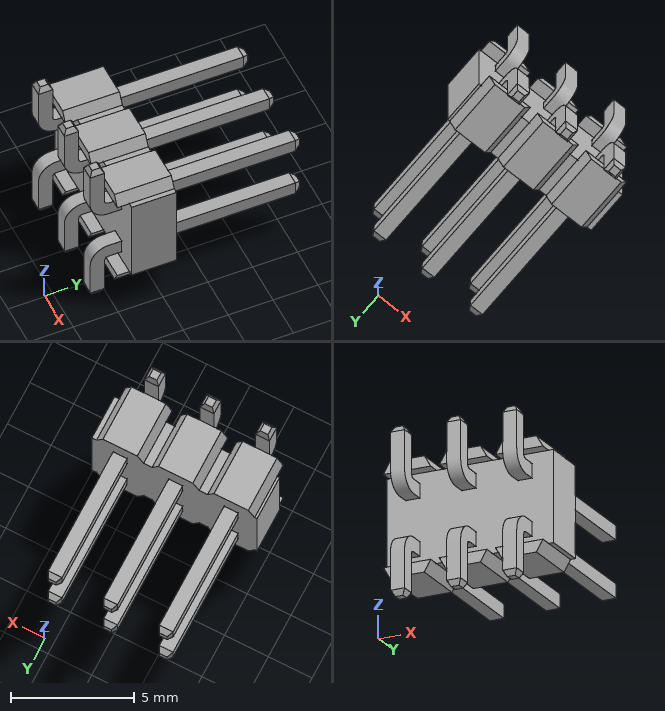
import cadquery as cq


column_count = 3
pitch = 2.54
row_offsets = [pitch / 2, -pitch / 2]
grid_shift_x = -0.06
column_xs = [grid_shift_x + (i - (column_count - 1) / 2) * pitch for i in range(column_count)]

block_length = 7.56
block_depth = 2.0
block_height = 4.06
pad_depth = pitch
pad_height = 0.51
pad_base_width = 2.15
pad_top_width = 1.57

overall_depth = 9.4
overall_height = 7.4
pin_width = 0.64
mating_length = 6.0
bend_inner_radius = 0.19
bend_outer_radius = bend_inner_radius + pin_width
tip_length = 0.25
tip_width = 0.36
tail_y = mating_length - overall_depth + pin_width / 2
tail_end_z = overall_height / 2


def make_block():
    return cq.Workplane("XY").box(block_length, block_depth, block_height).translate((0, -block_depth / 2, 0))


def make_pad(center_x, side):
    """Trapezoidal pad on the top (side = 1) or bottom (side = -1) of the block."""
    base_z = side * block_height / 2
    outer_z = base_z + side * pad_height
    outline = [
        (center_x - pad_base_width / 2, base_z),
        (center_x + pad_base_width / 2, base_z),
        (center_x + pad_top_width / 2, outer_z),
        (center_x - pad_top_width / 2, outer_z),
    ]
    return cq.Workplane("XZ").polyline(outline).close().extrude(pad_depth)


def make_pin_hole(center_x, center_z):
    """Square cutter through the block."""
    return cq.Workplane("XZ").center(center_x, center_z).rect(pin_width, pin_width).extrude(block_depth)


def make_housing():
    housing = make_block()
    for x in column_xs:
        for side in (1, -1):
            housing = housing.union(make_pad(x, side))
    for x in column_xs:
        for z in row_offsets:
            housing = housing.cut(make_pin_hole(x, z))
    return housing


def make_tip(base_plane):
    """Tapered pin end, growing along the normal of a plane centred on the pin's axis."""
    return (
        cq.Workplane(base_plane)
        .rect(pin_width, pin_width)
        .workplane(offset=tip_length)
        .rect(tip_width, tip_width)
        .loft(combine=True)
    )


def make_upper_pin(center_x):
    """Upper-row pin: a straight mating end, then a bend up into the tail."""
    row_z = row_offsets[0]
    half_width = pin_width / 2
    mating_tip_y = mating_length - tip_length
    tail_tip_z = tail_end_z - tip_length
    outline = [
        (mating_tip_y, row_z - half_width),
        (mating_tip_y, row_z + half_width),
        (tail_y + half_width, row_z + half_width),
        (tail_y + half_width, tail_tip_z),
        (tail_y - half_width, tail_tip_z),
        (tail_y - half_width, row_z - half_width),
    ]
    inner_corner = (center_x, tail_y + half_width, row_z + half_width)
    outer_corner = (center_x, tail_y - half_width, row_z - half_width)
    bar = cq.Workplane("YZ", origin=(center_x, 0, 0)).polyline(outline).close().extrude(half_width, both=True)
    bar = bar.edges(cq.selectors.NearestToPointSelector(inner_corner)).fillet(bend_inner_radius)
    bar = bar.edges(cq.selectors.NearestToPointSelector(outer_corner)).fillet(bend_outer_radius)

    mating_plane = cq.Plane(origin=(center_x, mating_tip_y, row_z), xDir=(1, 0, 0), normal=(0, 1, 0))
    tail_plane = cq.Plane(origin=(center_x, tail_y, tail_tip_z), xDir=(1, 0, 0), normal=(0, 0, 1))
    return bar.union(make_tip(mating_plane)).union(make_tip(tail_plane))


def make_pins():
    """The upper row and its mirror image below."""
    pins = []
    for x in column_xs:
        upper_pin = make_upper_pin(x)
        lower_pin = upper_pin.mirror("XY")
        pins += [upper_pin.solids().val(), lower_pin.solids().val()]
    return pins


housing = make_housing()
pins = make_pins()
result = cq.Compound.makeCompound([housing.solids().val(), *pins])